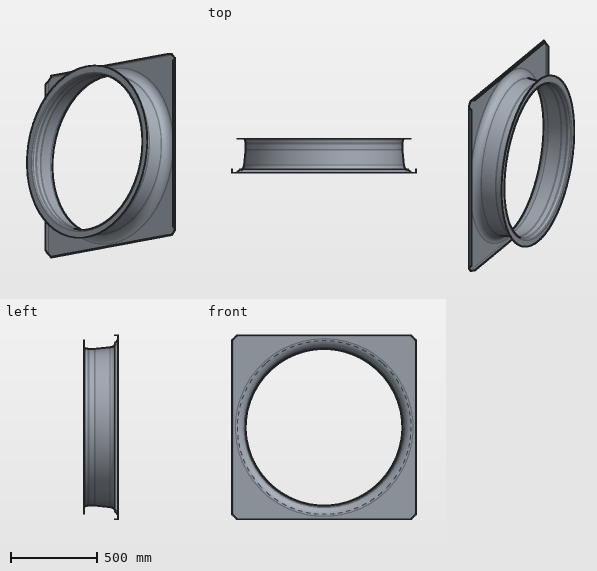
import cadquery as cq
import math

plate_side = 1070.0
plate_sheet = 2.0
lip_height = 20.0
lip_bend_radius = 5.0
corner_cut = 32.0

total_depth = 199.0
duct_sheet = 2.0
bell_bend_radius = 52.0
throat_radius = 454.8
neck_start = 137.0
neck_end = 173.0
neck_bend_radius = 30.0
rear_flange_radius = 504.0
rear_bend_radius = 7.0
front_cone_angle = math.radians(5.8)
rear_cone_angle = math.radians(12.0)

half_side = plate_side / 2
fold_line = half_side - lip_bend_radius
lip_end = half_side - corner_cut + lip_bend_radius


def bend(before, corner, after, radius):
    """Centre of a tangent arc at a corner, and the directions from it to the arc's start, middle and end."""
    into = (before - corner).normalized()
    out = (after - corner).normalized()
    half_angle = into.getAngle(out) / 2
    middle = (into + out).normalized()
    centre = corner + middle * (radius / math.sin(half_angle))
    setback = radius / math.tan(half_angle)
    to_start = (corner + into * setback - centre).normalized()
    to_end = (corner + out * setback - centre).normalized()
    return centre, (to_start, middle * -1, to_end)


def duct_arcs(offset):
    """Points of the duct's four bends, plate to rear flange, with the middle surface offset towards the bore."""
    front = duct_sheet / 2
    rear = total_depth - duct_sheet / 2
    cone_front = throat_radius + (neck_start - front) * math.tan(front_cone_angle)
    cone_rear = throat_radius + (rear - neck_end) * math.tan(rear_cone_angle)
    corners = [
        cq.Vector(half_side, front),
        cq.Vector(cone_front, front),
        cq.Vector(throat_radius, neck_start),
        cq.Vector(throat_radius, neck_end),
        cq.Vector(cone_rear, rear),
        cq.Vector(rear_flange_radius, rear),
    ]
    radii = [bell_bend_radius, neck_bend_radius, neck_bend_radius, rear_bend_radius]
    arcs = []
    for before, corner, after, radius in zip(corners, corners[1:], corners[2:], radii):
        centre, directions = bend(before, corner, after, radius)
        points = [centre + direction * (radius + offset) for direction in directions]
        arcs.append([(point.x, point.y) for point in points])
    return arcs


def make_duct():
    bore_arcs = duct_arcs(duct_sheet / 2)
    outside_arcs = duct_arcs(-duct_sheet / 2)
    bell_start, bell_middle, bell_end = bore_arcs[0]
    profile = cq.Workplane("XY").moveTo(*bell_start).threePointArc(bell_middle, bell_end)
    for start, middle, end in bore_arcs[1:]:
        profile = profile.lineTo(*start).threePointArc(middle, end)
    profile = profile.lineTo(rear_flange_radius, total_depth)
    profile = profile.lineTo(rear_flange_radius, total_depth - duct_sheet)
    for start, middle, end in reversed(outside_arcs):
        profile = profile.lineTo(*end).threePointArc(middle, start)
    duct = profile.close().revolve(360, (0, 0), (0, 1))
    return duct.rotate((0, 0, 0), (0, 1, 0), -90)


def make_flat_plate():
    flat = cq.Workplane("XZ").rect(2 * fold_line, 2 * fold_line).extrude(-plate_sheet)
    corner_leg = corner_cut - 2 * lip_bend_radius
    flat = flat.edges("|Y").chamfer(corner_leg)
    mouth_radius = duct_arcs(0)[0][0][0]
    return flat.cut(cq.Workplane("XZ").circle(mouth_radius).extrude(-plate_sheet))


def make_top_lip():
    """Lip along the +Z side; its ends lean inwards at 45 degrees."""
    inside_radius = lip_bend_radius - plate_sheet
    diagonal = math.sqrt(0.5)
    lip = (
        cq.Workplane("YZ")
        .moveTo(0, fold_line)
        .threePointArc(
            (lip_bend_radius * (1 - diagonal), fold_line + lip_bend_radius * diagonal),
            (lip_bend_radius, half_side),
        )
        .lineTo(lip_height, half_side)
        .lineTo(lip_height, half_side - plate_sheet)
        .lineTo(lip_bend_radius, half_side - plate_sheet)
        .threePointArc(
            (lip_bend_radius - inside_radius * diagonal, fold_line + inside_radius * diagonal),
            (plate_sheet, fold_line),
        )
        .close()
        .extrude(lip_end, both=True)
    )
    ends = (
        cq.Workplane("XY")
        .polyline([
            (-lip_end, 0),
            (lip_end, 0),
            (lip_end - lip_height, lip_height),
            (lip_height - lip_end, lip_height),
        ])
        .close()
        .extrude(plate_side)
    )
    return lip.intersect(ends)


def make_plate():
    plate = make_flat_plate()
    lip = make_top_lip()
    for turn in range(4):
        plate = plate.union(lip.rotate((0, 0, 0), (0, 1, 0), 90 * turn))
    return plate


result = make_plate().union(make_duct())